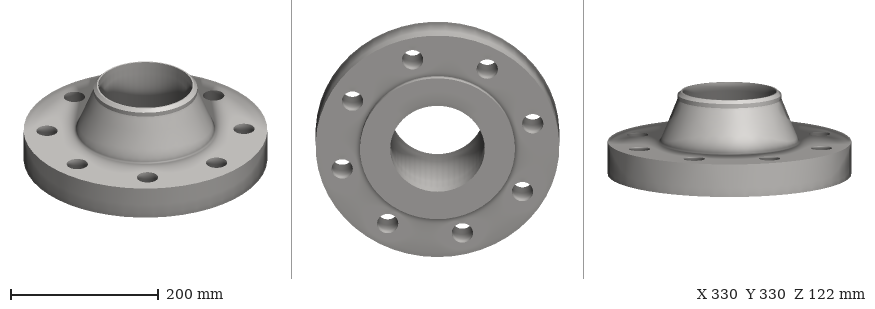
import cadquery as cq

flange_diameter = 330.0
flange_thickness = 45.0
face_diameter = 210.0
face_height = 8.0
overall_height = 122.0
bore_diameter = 128.0

neck_base_diameter = 188.8
neck_end_diameter = 140.5
collar_height = 6.0
weld_bevel_height = 4.3
weld_end_diameter = 132.0
neck_root_fillet = 3.3

bolt_count = 8
bolt_circle_diameter = 266.7
bolt_hole_diameter = 28.7

flange_top = face_height + flange_thickness
collar_top = overall_height - weld_bevel_height
collar_bottom = collar_top - collar_height


def make_body():
    """Revolve the half section between the bore and the outer surface."""
    bore_radius = bore_diameter / 2
    face_radius = face_diameter / 2
    flange_radius = flange_diameter / 2
    neck_base_radius = neck_base_diameter / 2
    neck_end_radius = neck_end_diameter / 2
    half_section = [
        (bore_radius, 0),
        (face_radius, 0),
        (face_radius, face_height),
        (flange_radius, face_height),
        (flange_radius, flange_top),
        (neck_base_radius, flange_top),
        (neck_end_radius, collar_bottom),
        (neck_end_radius, collar_top),
        (weld_end_diameter / 2, overall_height),
        (bore_radius, overall_height),
    ]
    profile = cq.Workplane("XZ").polyline(half_section).close()
    return profile.revolve(360, (0, 0, 0), (0, 1, 0))


def round_neck_root(body):
    """Fillet the corner where the neck meets the top of the flange."""
    selection_margin = 0.3
    root_zone = cq.selectors.BoxSelector(
        (-neck_base_diameter, -neck_base_diameter, flange_top - selection_margin),
        (neck_base_diameter, neck_base_diameter, flange_top + selection_margin),
    )
    inner_edge = cq.selectors.RadiusNthSelector(0)
    return body.edges(root_zone).edges("%CIRCLE").edges(inner_edge).fillet(neck_root_fillet)


def make_bolt_holes():
    """Through cylinders evenly spaced around the bolt circle."""
    return (
        cq.Workplane("XY")
        .polarArray(bolt_circle_diameter / 2, 0, 360, bolt_count)
        .circle(bolt_hole_diameter / 2)
        .extrude(flange_top)
    )


result = round_neck_root(make_body()).cut(make_bolt_holes())